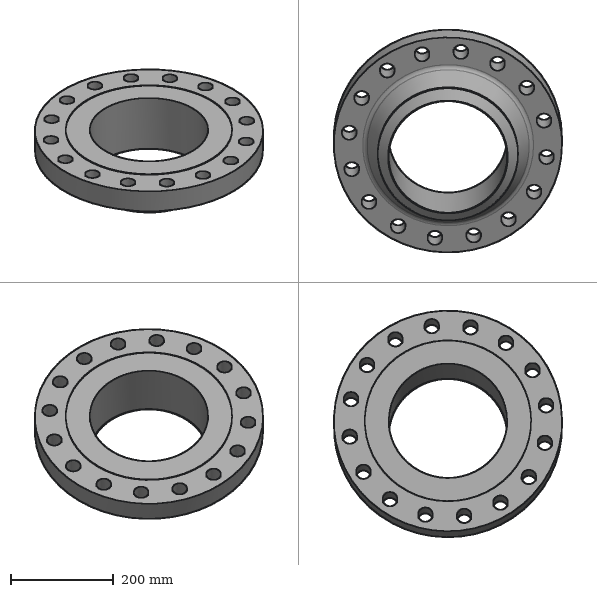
import cadquery as cq
import math

flange_diameter = 444.5
flange_thickness = 46.0
overall_height = 117.47
raised_face_diameter = 323.85
raised_face_height = 1.6
bore_diameter = 230.2

bolt_count = 16
bolt_circle_diameter = 387.35
bolt_hole_diameter = 28.6

hub_base_diameter = 320.7
weld_end_diameter = 273.05
weld_land_length = 6.35
bevel_angle = 37.5
weld_root_face = 1.6
hub_fillet_radius = 9.5

flange_top = overall_height - raised_face_height
flange_bottom = flange_top - flange_thickness
root_diameter = bore_diameter + 2 * weld_root_face
bevel_width = (weld_end_diameter - root_diameter) / 2
bevel_height = bevel_width * math.tan(math.radians(bevel_angle))
hub_taper_start = bevel_height + weld_land_length


def radial_profile():
    """Half section of the flange, from the bore outward."""
    return (
        cq.Workplane("XZ")
        .moveTo(bore_diameter / 2, 0)
        .lineTo(root_diameter / 2, 0)
        .lineTo(weld_end_diameter / 2, bevel_height)
        .lineTo(weld_end_diameter / 2, hub_taper_start)
        .lineTo(hub_base_diameter / 2, flange_bottom)
        .lineTo(flange_diameter / 2, flange_bottom)
        .lineTo(flange_diameter / 2, flange_top)
        .lineTo(raised_face_diameter / 2, flange_top)
        .lineTo(raised_face_diameter / 2, overall_height)
        .lineTo(bore_diameter / 2, overall_height)
        .close()
    )


def flange_body():
    """Revolved flange with the hub blended into the underside of the flange."""
    body = radial_profile().revolve(360, (0, 0, 0), (0, 1, 0))
    underside_edges = body.faces("-Z").edges(">Z")
    hub_base_edge = underside_edges.edges(cq.selectors.RadiusNthSelector(0))
    return hub_base_edge.fillet(hub_fillet_radius)


def bolt_holes():
    """Cylinders on the bolt circle, running through the flange."""
    return (
        cq.Workplane("XY", origin=(0, 0, flange_bottom))
        .polarArray(bolt_circle_diameter / 2, 0, 360, bolt_count)
        .circle(bolt_hole_diameter / 2)
        .extrude(flange_thickness)
    )


result = flange_body().cut(bolt_holes())